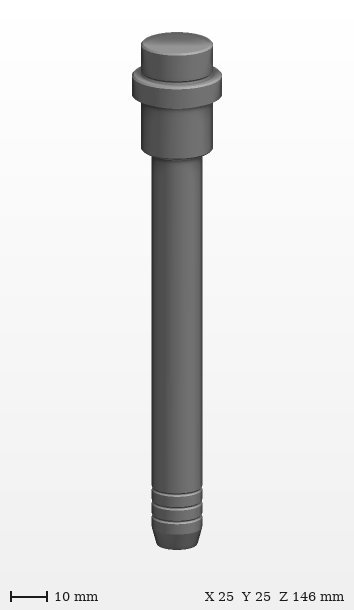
import cadquery as cq
import math

total_length = 146.0
collar_top_depth = 9.0
collar_thickness = 6.0
body_end_depth = 31.0

body_radius = 10.0
collar_radius = 12.5
shank_radius = 7.0

edge_chamfer = 0.5

groove_width = 1.0
groove_floor_width = 0.2
groove_depth = 0.5
neck_width = 1.0
neck_depth = 0.5

groove_count = 3
groove_pitch = 4.0
first_groove_height = 8.0

tip_length = 5.0
tip_half_angle = 15.0
tip_fillet = 0.5

collar_top = total_length - collar_top_depth
collar_bottom = collar_top - collar_thickness
body_bottom = total_length - body_end_depth
neck_bottom = body_bottom - neck_width


def revolve_about_z(profile):
    """Full turn of an XZ profile about the Z axis."""
    return profile.revolve(360, (0, 0, 0), (0, 1, 0))


def cylinder(radius, bottom, top):
    """Plain cylinder on the Z axis between two levels."""
    return cq.Workplane("XY").workplane(offset=bottom).circle(radius).extrude(top - bottom)


def groove_ring(radius, bottom):
    """Ring that cuts a groove with sloping flanks and a narrow flat floor."""
    middle = bottom + groove_width / 2
    floor_radius = radius - groove_depth
    profile = (
        cq.Workplane("XZ")
        .moveTo(radius, bottom)
        .lineTo(floor_radius, middle - groove_floor_width / 2)
        .lineTo(floor_radius, middle + groove_floor_width / 2)
        .lineTo(radius, bottom + groove_width)
        .close()
    )
    return revolve_about_z(profile)


def make_head():
    """Chamfered body with a relief groove on each side of its collar."""
    body = cylinder(body_radius, body_bottom, total_length).edges().chamfer(edge_chamfer)
    for groove_bottom in (collar_top, collar_bottom - groove_width):
        body = body.cut(groove_ring(body_radius, groove_bottom))
    collar = cylinder(collar_radius, collar_bottom, collar_top)
    collar = collar.faces(">Z").edges().chamfer(edge_chamfer)
    return body.union(collar)


def make_tip():
    """Cone narrowing to the tip face, with its end edge rounded."""
    end_radius = shank_radius - tip_length * math.tan(math.radians(tip_half_angle))
    profile = (
        cq.Workplane("XZ")
        .lineTo(end_radius, 0)
        .lineTo(shank_radius, tip_length)
        .lineTo(0, tip_length)
        .close()
    )
    return revolve_about_z(profile).faces("<Z").edges().fillet(tip_fillet)


def make_shank():
    """Long shank with ring grooves, a tapered tip and a reduced neck under the head."""
    shank = cylinder(shank_radius, tip_length, neck_bottom)
    for index in range(groove_count):
        groove_bottom = first_groove_height + index * groove_pitch
        shank = shank.cut(groove_ring(shank_radius, groove_bottom))
    neck = cylinder(shank_radius - neck_depth, neck_bottom, body_bottom)
    return shank.union(make_tip()).union(neck)


result = make_head().union(make_shank())